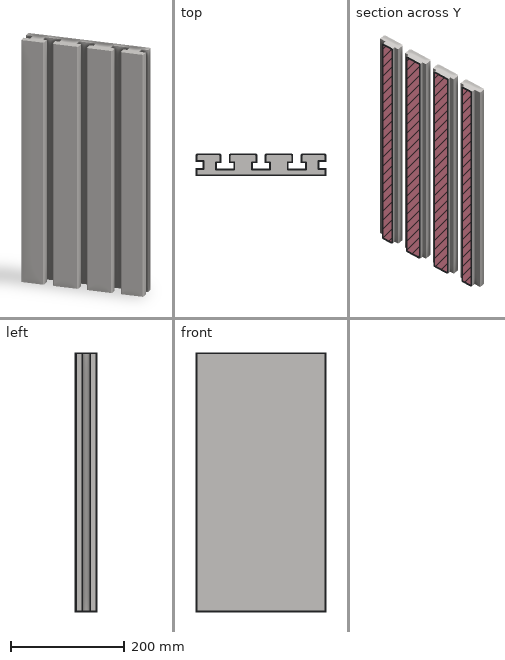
import cadquery as cq

WIDTH = 228.6
THICKNESS = 37.59
LENGTH = 457.2

SLOT_COUNT = 3
SLOT_PITCH = 63.5
SLOT_MOUTH_WIDTH = 15.875
SLOT_HEAD_WIDTH = 31.75
SLOT_LIP_THICKNESS = 14.4
SLOT_DEPTH = 26.6

GROOVE_DEPTH = 12.5
GROOVE_HEIGHT = 13.5
GROOVE_START_Y = 11.7

EDGE_CHAMFER = 1.75

SLOT_CENTERS = [(i - (SLOT_COUNT - 1) / 2) * SLOT_PITCH for i in range(SLOT_COUNT)]


def long_bar(x_center, x_size, y_start, y_end):
    """Full-length bar running along Z, from Z = 0, between two Y positions."""
    return (
        cq.Workplane("XY")
        .center(x_center, (y_start + y_end) / 2)
        .rect(x_size, y_end - y_start)
        .extrude(LENGTH)
    )


def cut_slot_mouth(body, x_center):
    """Narrow opening of a T-slot, cut to the full slot depth."""
    return body.cut(long_bar(x_center, SLOT_MOUTH_WIDTH, THICKNESS - SLOT_DEPTH, THICKNESS))


def cut_slot_head(body, x_center):
    """Wide undercut of a T-slot, below its lips."""
    floor_y = THICKNESS - SLOT_DEPTH
    lip_y = THICKNESS - SLOT_LIP_THICKNESS
    return body.cut(long_bar(x_center, SLOT_HEAD_WIDTH, floor_y, lip_y))


def cut_side_groove(body, side):
    """Groove in one X side; side is -1 or +1."""
    x_center = side * (WIDTH - GROOVE_DEPTH) / 2
    return body.cut(long_bar(x_center, GROOVE_DEPTH, GROOVE_START_Y, GROOVE_START_Y + GROOVE_HEIGHT))


plate = long_bar(0, WIDTH, 0, THICKNESS)
for slot_x in SLOT_CENTERS:
    plate = cut_slot_mouth(plate, slot_x)

plate = plate.faces(">Y").edges("|Z").chamfer(EDGE_CHAMFER)

for slot_x in SLOT_CENTERS:
    plate = cut_slot_head(plate, slot_x)
for groove_side in (-1, 1):
    plate = cut_side_groove(plate, groove_side)

result = plate